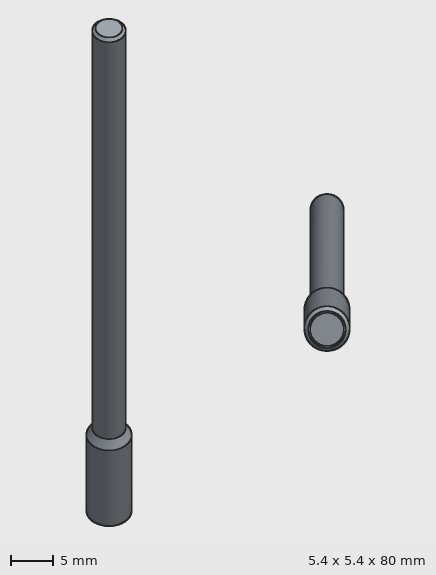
import cadquery as cq

rod_length = 80.0
rod_diameter = 4.0
rod_tip_chamfer = 0.4

sleeve_wall = 0.7
sleeve_diameter = rod_diameter + 2 * sleeve_wall
sleeve_length = 14.2
sleeve_taper_length = 1.2
sleeve_bottom_chamfer = 0.5


def make_rod():
    """Round bar with a chamfered upper end."""
    rod = cq.Workplane("XY").circle(rod_diameter / 2).extrude(rod_length)
    return rod.faces(">Z").edges().chamfer(rod_tip_chamfer)


def make_sleeve():
    """Tube that tapers down to the rod at the top and is chamfered at the bottom."""
    bore_radius = rod_diameter / 2
    outer_radius = sleeve_diameter / 2
    taper_start = sleeve_length - sleeve_taper_length

    half_section = (
        cq.Workplane("XZ")
        .moveTo(bore_radius, 0)
        .lineTo(outer_radius - sleeve_bottom_chamfer, 0)
        .lineTo(outer_radius, sleeve_bottom_chamfer)
        .lineTo(outer_radius, taper_start)
        .lineTo(bore_radius, sleeve_length)
        .close()
    )
    return half_section.revolve(360, (0, 0, 0), (0, 1, 0))


rod = make_rod()
sleeve = make_sleeve()

result = cq.Compound.makeCompound([rod.val(), sleeve.val()])